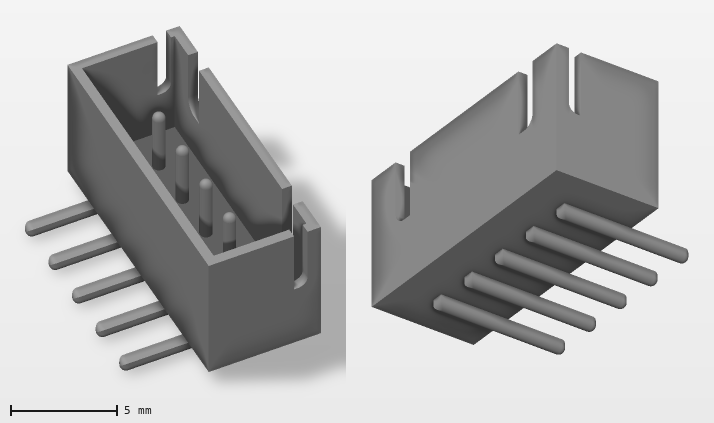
import cadquery as cq

length = 15.0
depth = 5.88
height = 7.0
wall = 0.51
floor = 1.0

slot_bottom = height / 2
back_slot_inset = 1.94
back_slot_width = 1.15
back_slot_radius = 0.69
side_slot_inset = 0.7
side_slot_width = 0.7
side_slot_radius = 0.51

pin_count = 5
pin_pitch = length / (pin_count + 1)
pin_radius = 0.32
pin_y = 3.55
pin_top = 4.47
pin_tip_y = depth - 9.3
leg_axis_z = -pin_radius
upright_end_z = pin_top - pin_radius
leg_back_y = pin_y + pin_radius
leg_end_y = pin_tip_y + pin_radius


def slot_profile(plane, width, radius):
    """Slot outline from its outer edge at local x = 0; the outer bottom corner is round."""
    return (
        cq.Workplane(plane)
        .moveTo(0, height)
        .lineTo(0, slot_bottom + radius)
        .radiusArc((radius, slot_bottom), -radius)
        .lineTo(width, slot_bottom)
        .lineTo(width, height)
        .close()
    )


def make_back_slot():
    """Left slot through the back wall."""
    plane = cq.Plane(origin=(back_slot_inset, depth, 0), xDir=(1, 0, 0), normal=(0, -1, 0))
    return slot_profile(plane, back_slot_width, back_slot_radius).extrude(wall)


def make_side_slot():
    """Slot through the left wall, near the back."""
    plane = cq.Plane(origin=(0, depth - side_slot_inset, 0), xDir=(0, -1, 0), normal=(-1, 0, 0))
    return slot_profile(plane, side_slot_width, side_slot_radius).extrude(-wall)


def make_pin_hole(x):
    """Round hole in the floor for one upright leg."""
    return cq.Workplane("XY").center(x, pin_y).circle(pin_radius).extrude(floor)


def make_housing(pin_places):
    body = cq.Workplane("XY").box(length, depth, height, centered=False)
    cavity = (
        cq.Workplane("XY")
        .box(length - 2 * wall, depth - 2 * wall, height - floor, centered=False)
        .translate((wall, wall, floor))
    )
    body = body.cut(cavity)
    for slot in (make_back_slot(), make_side_slot()):
        opposite_slot = slot.mirror("YZ", (length / 2, 0, 0))
        body = body.cut(slot).cut(opposite_slot)
    for x in pin_places:
        body = body.cut(make_pin_hole(x))
    return body


def make_upright_leg():
    """Round upright leg with a domed top."""
    shaft = (
        cq.Workplane("XY", origin=(0, pin_y, leg_axis_z))
        .circle(pin_radius)
        .extrude(upright_end_z - leg_axis_z)
    )
    dome = cq.Workplane("XY", origin=(0, pin_y, upright_end_z)).sphere(pin_radius)
    return shaft.union(dome)


def make_solder_leg():
    """Leg toward -Y with a flat top, upright sides, a half-round underside and a rounded heel."""
    leg = (
        cq.Workplane("XZ", origin=(0, leg_back_y, leg_axis_z))
        .moveTo(-pin_radius, 0)
        .lineTo(-pin_radius, pin_radius)
        .lineTo(pin_radius, pin_radius)
        .lineTo(pin_radius, 0)
        .threePointArc((0, -pin_radius), (-pin_radius, 0))
        .close()
        .extrude(leg_back_y - leg_end_y)
    )
    side_outline = (
        cq.Workplane("YZ")
        .moveTo(leg_end_y, 0)
        .lineTo(leg_back_y, 0)
        .lineTo(leg_back_y, leg_axis_z)
        .radiusArc((pin_y, leg_axis_z - pin_radius), pin_radius)
        .lineTo(leg_end_y, leg_axis_z - pin_radius)
        .close()
        .extrude(pin_radius, both=True)
    )
    return leg.intersect(side_outline).union(make_tip())


def make_tip():
    """Leg tip: a ball below, two crossed rounds meeting in mitred edges above."""
    ball = cq.Workplane("XY", origin=(0, leg_end_y, leg_axis_z)).sphere(pin_radius)
    side_round = (
        cq.Workplane("XY", origin=(0, leg_end_y, leg_axis_z))
        .circle(pin_radius)
        .extrude(pin_radius)
    )
    top_round = (
        cq.Workplane("YZ", origin=(0, leg_end_y, leg_axis_z))
        .circle(pin_radius)
        .extrude(pin_radius, both=True)
    )
    tip = ball.union(side_round.intersect(top_round))
    front_half = cq.Workplane("XY", origin=(0, leg_end_y - pin_radius, leg_axis_z)).box(
        2 * pin_radius, 2 * pin_radius, 2 * pin_radius
    )
    return tip.intersect(front_half)


def make_pin(x):
    return make_upright_leg().union(make_solder_leg()).translate((x, 0, 0))


pin_places = [pin_pitch * (index + 1) for index in range(pin_count)]
housing = make_housing(pin_places)
pins = [make_pin(x) for x in pin_places]

result = cq.Compound.makeCompound([housing.solids().val(), *[pin.solids().val() for pin in pins]])